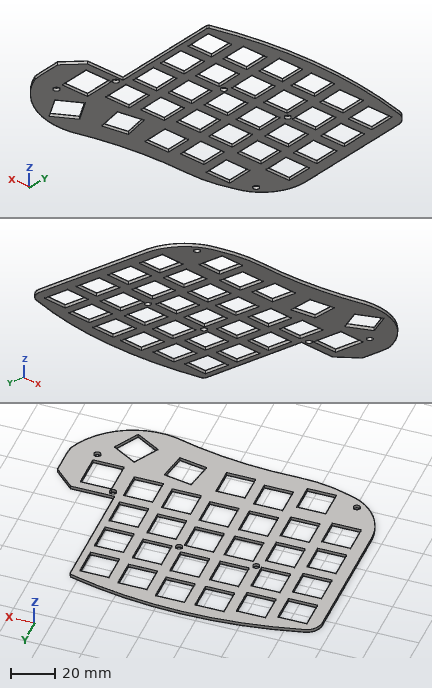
import cadquery as cq

length = 149.8
depth = 115.7
thickness = 1.6

key_size = 14.0
key_pitch = 19.0
first_column_x = 13.3
column_top_y = [97.4, 99.8, 102.2, 102.2, 99.5, 97.4]
rows_per_column = 4

lower_keys = [(1, 21.1), (2, 25.6), (3, 23.1)]

thumb_keys = [(95.1, 21.6, -10), (121.7, 14.0, -30)]

wing_opening_x = 129.6
wing_opening_y = 36.7
wing_opening_width = 15.0
wing_opening_height = 16.5

screw_diameter = 3.1
screw_points = [(42.0, 73.7), (79.3, 73.0), (120.8, 46.6), (136.7, 24.0), (13.8, 19.0)]

grid_right_x = 119.0
wing_top_y = 49.5
wing_chamfer_x = 140.1
wing_side_top_y = 40.2
wing_side_bottom_y = 28.5

left_side_bottom = (0, 37.2)
left_side_top = (0, 101.5)
arch_left = (6.5, 108.8)
arch_right = (118.4, 108.3)
arch_right_end = (grid_right_x, 107.5)
wing_curve_start = (149.5, 24.0)
lower_wave_right = (107.7, 0.6)
lower_wave_middle = (46.5, 8.1)
lower_wave_left = (19.5, 12.1)

upper_left_corner_mid = (2.2, 106.7)
arch_peak = (61.5, depth)
wing_curve_mid = (138.3, 8.5)
crest_wave_mid = (77.9, 6.6)
trough_wave_mid = (33.0, 8.8)
lower_left_corner_mid = (7.6, 18.9)


def plate():
    outline = (
        cq.Workplane("XY")
        .moveTo(*left_side_bottom)
        .lineTo(*left_side_top)
        .threePointArc(upper_left_corner_mid, arch_left)
        .threePointArc(arch_peak, arch_right)
        .lineTo(*arch_right_end)
        .lineTo(grid_right_x, wing_top_y)
        .lineTo(wing_chamfer_x, wing_top_y)
        .lineTo(length, wing_side_top_y)
        .lineTo(length, wing_side_bottom_y)
        .lineTo(*wing_curve_start)
        .threePointArc(wing_curve_mid, lower_wave_right)
        .threePointArc(crest_wave_mid, lower_wave_middle)
        .threePointArc(trough_wave_mid, lower_wave_left)
        .threePointArc(lower_left_corner_mid, left_side_bottom)
        .close()
    )
    return outline.extrude(thickness)


def rectangular_cutter(x, y, width, height, angle=0):
    cutter = cq.Workplane("XY").rect(width, height).extrude(thickness)
    return cutter.rotate((0, 0, 0), (0, 0, 1), angle).translate((x, y, 0))


def key_places():
    """Center X, center Y and rotation of every key cutout."""
    places = []
    for column, top_y in enumerate(column_top_y):
        x = first_column_x + column * key_pitch
        for row in range(rows_per_column):
            places.append((x, top_y - row * key_pitch, 0))
    for column, y in lower_keys:
        places.append((first_column_x + column * key_pitch, y, 0))
    return places + thumb_keys


result = plate()

for x, y, angle in key_places():
    result = result.cut(rectangular_cutter(x, y, key_size, key_size, angle))

result = result.cut(
    rectangular_cutter(wing_opening_x, wing_opening_y, wing_opening_width, wing_opening_height)
)

screw_holes = cq.Workplane("XY").pushPoints(screw_points).circle(screw_diameter / 2).extrude(thickness)
result = result.cut(screw_holes)